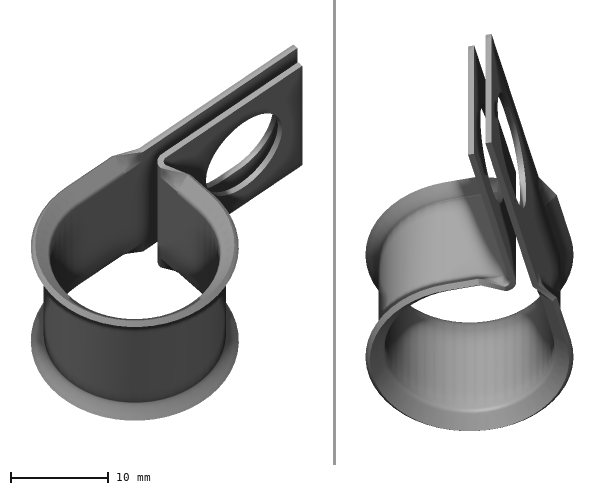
import cadquery as cq
import math

thickness = 0.65
width = 15.87
inner_radius = 8.7
overall_length = 40.4
flare_diameter = 21.3
flare_radius = flare_diameter / 2
long_leg_end = overall_length - flare_radius
short_leg_end = 28.55
short_leg_bend = 0.7
long_side_flare = 6.2
short_side_flare = 3.4
transition = 2.5
loop_start = 180
loop_sweep = 270
flare_angle = math.radians(45)
lip_bend = 0.12
hole_diameter = 10.35
slot_length = 12.72
hole_y = 20.65

half_width = width / 2
outer_radius = inner_radius + thickness
end_step = thickness * math.sin(flare_angle)
tip_outer = (flare_radius, half_width - end_step)
tip_inner = (flare_radius - end_step, half_width)
root_outer = (outer_radius, tip_outer[1] - (flare_radius - outer_radius))
root_inner = (inner_radius, half_width - (tip_inner[0] - inner_radius))
corner_length = math.tan(flare_angle / 2)


def flare_bend(sketch, root, radius, upward):
    """Add the arc joining the vertical wall to the 45 degree flare at a root point."""
    tangent = corner_length * radius
    diagonal = tangent * math.sin(flare_angle)
    mid_angle = flare_angle / 2
    wall = (root[0], root[1] - tangent)
    middle = (
        root[0] + radius * (1 - math.cos(mid_angle)),
        root[1] - tangent + radius * math.sin(mid_angle),
    )
    slope = (root[0] + diagonal, root[1] + diagonal)
    if upward:
        return sketch.lineTo(*wall).threePointArc(middle, slope)
    return sketch.lineTo(*slope).threePointArc(middle, wall)


def half_section(plane):
    """Upper half of the flared strip section: local x is radius, local y is height."""
    sketch = cq.Workplane(plane).moveTo(inner_radius, 0).lineTo(outer_radius, 0)
    sketch = flare_bend(sketch, root_outer, lip_bend, True)
    sketch = sketch.lineTo(*tip_outer).lineTo(*tip_inner)
    sketch = flare_bend(sketch, root_inner, lip_bend + thickness, False)
    return sketch.close()


def section_plane(along, outward):
    """Plane with x outward and y along Z, and the sign of its normal relative to `along`."""
    normal = cq.Vector(*outward).cross(cq.Vector(0, 0, 1))
    direction = cq.Vector(*along).dot(normal)
    return cq.Plane(origin=(0, 0, 0), xDir=outward, normal=normal.toTuple()), direction


def straight_side(flare_length, along, outward):
    """Upper half of a straight flared run followed by its transition to a flat strip."""
    plane, direction = section_plane(along, outward)
    run = half_section(plane).extrude(flare_length * direction)

    flare_points = [root_outer, tip_outer, tip_inner, root_inner]
    flat_points = [
        root_outer,
        (outer_radius, half_width),
        (inner_radius, half_width),
        root_inner,
    ]
    wires = []
    for points, distance in ((flare_points, flare_length), (flat_points, flare_length + transition)):
        outline = cq.Workplane(plane).workplane(offset=distance * direction).polyline(points).close()
        wires.append(outline.val())
    blend = cq.Workplane(cq.Solid.makeLoft(wires, True))

    wall_points = [(inner_radius, 0), (outer_radius, 0), root_outer, root_inner]
    wall = cq.Workplane(plane).workplane(offset=flare_length * direction)
    wall = wall.polyline(wall_points).close().extrude(transition * direction)
    return run.union(wall).union(blend)


def flared_loop():
    """Three-quarter loop from -X round through -Y and +X to +Y, with both straight sides."""
    ring = half_section("XZ").revolve(loop_sweep, (0, 0), (0, 1))
    ring = ring.rotate((0, 0, 0), (0, 0, 1), loop_start)
    long_side = straight_side(long_side_flare, (0, 1, 0), (-1, 0, 0))
    short_side = straight_side(short_side_flare, (-1, 0, 0), (0, 1, 0))
    upper = ring.union(long_side).union(short_side)
    return upper.union(upper.mirror("XY"))


def long_leg():
    """Flat leg tangent to the -X side of the loop, with the slotted hole."""
    start = long_side_flare + transition
    leg = cq.Workplane("XY").box(thickness, long_leg_end - start, width, centered=(False, False, True))
    leg = leg.translate((-outer_radius, start, 0))
    slot = cq.Workplane("YZ", origin=(-outer_radius, hole_y, 0))
    return leg.cut(slot.slot2D(slot_length, hole_diameter).extrude(thickness))


def short_leg():
    """Leg that turns from the +Y side of the loop to run parallel to the long leg."""
    bend_x = -(short_side_flare + transition)
    bend_y = outer_radius + short_leg_bend
    inside_x = bend_x - short_leg_bend
    outside_x = inside_x - thickness
    leg = (
        cq.Workplane("XY", origin=(0, 0, -half_width))
        .moveTo(bend_x, inner_radius)
        .lineTo(bend_x, outer_radius)
        .radiusArc((inside_x, bend_y), short_leg_bend)
        .lineTo(inside_x, short_leg_end)
        .lineTo(outside_x, short_leg_end)
        .lineTo(outside_x, bend_y)
        .radiusArc((bend_x, inner_radius), -(short_leg_bend + thickness))
        .close()
        .extrude(width)
    )
    hole = cq.Workplane("YZ", origin=(outside_x, hole_y, 0)).circle(hole_diameter / 2)
    return leg.cut(hole.extrude(thickness))


result = flared_loop().union(long_leg()).union(short_leg())